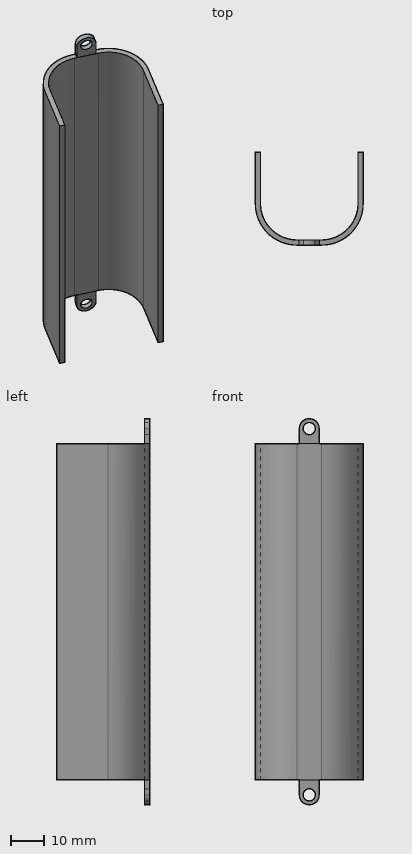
import cadquery as cq

total_height = 116.0
width = 32.5
depth = 28.0
wall = 1.6
corner_radius = 12.5
tab_length = 7.5
tab_width = 6.0
tab_hole_diameter = 3.6

cover_height = total_height - 2 * tab_length
tab_radius = tab_width / 2


def channel_blank(blank_width, blank_depth, radius):
    """Solid bar with both front vertical edges rounded, its back face at Y = depth."""
    return (
        cq.Workplane("XY")
        .box(blank_width, blank_depth, cover_height, centered=(True, False, True))
        .translate((0, depth - blank_depth, 0))
        .edges("|Z and <Y")
        .fillet(radius)
    )


def make_cover():
    """U-shaped cover of constant wall thickness, open at the back and at both ends."""
    outside = channel_blank(width, depth, corner_radius)
    inside = channel_blank(width - 2 * wall, depth - wall, corner_radius - wall)
    return outside.cut(inside)


def make_tab(end):
    """Round-ended screw tab on the top (end = 1) or bottom (end = -1) of the front wall."""
    base_z = end * cover_height / 2
    tip_z = end * total_height / 2
    hole_z = tip_z - end * tab_radius
    plate = (
        cq.Workplane("XZ")
        .moveTo(-tab_radius, base_z)
        .lineTo(-tab_radius, hole_z)
        .threePointArc((0, tip_z), (tab_radius, hole_z))
        .lineTo(tab_radius, base_z)
        .close()
        .extrude(-wall)
    )
    hole = cq.Workplane("XZ").center(0, hole_z).circle(tab_hole_diameter / 2).extrude(-wall)
    return plate.cut(hole)


cover = make_cover()
tabs = [make_tab(end) for end in (-1, 1)]

result = cq.Compound.makeCompound([cover.val(), *[tab.val() for tab in tabs]])